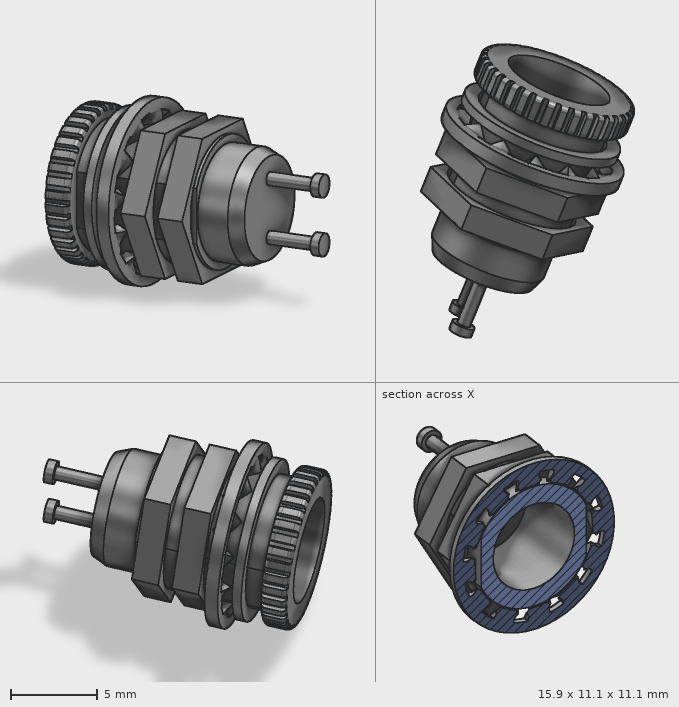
import cadquery as cq
import math


head_length = 1.56
barrel_end = 9.43
taper_start = 11.39
body_end = 12.29
pin_head_start = 15.32
overall_length = 15.86

head_radius = 4.7625
head_fillet = 0.3
knurl_count = 36
knurl_depth = head_fillet
knurl_floor_width = 0.26
knurl_top_width = 0.36

barrel_radius = 3.985
barrel_across_flats = 7.23
cap_radius = 3.5
cap_end_radius = 3.12

bore_radius = 3.15
bore_depth = 4.05
inner_bore_radius = 2.77

pin_radius = 0.4
pin_head_radius = 0.69
pin_spacing = 3.53

washer_radius = 4.84
washer_start = 2.65
washer_thickness = 0.55

lock_radius = 5.53
lock_inner_radius = 4.84
lock_start = 3.87
lock_thickness = 0.79
tooth_count = 12
tooth_width = 1.545
tooth_root = 4.75
tooth_clearance = 0.03
tooth_tip = barrel_radius + tooth_clearance
tooth_twist = -36.5
tooth_start_angle = -4.3

nut_across_flats = 8.73
nut_thickness = 1.6
nut_starts = (5.18, 7.61)


def disc(start, length, radius, z=0):
    """Cylinder along X."""
    return cq.Workplane("YZ", origin=(start, 0, z)).circle(radius).extrude(length)


def make_head():
    """Bezel with rounded rims and tapered knurl grooves along its length."""
    head = disc(0, head_length, head_radius).faces("<X or >X").edges().fillet(head_fillet)
    floor_radius = head_radius - knurl_depth
    wall_slope = (knurl_top_width - knurl_floor_width) / 2 / knurl_depth
    cutter_height = 2 * knurl_depth
    floor_half = knurl_floor_width / 2
    top_half = floor_half + wall_slope * cutter_height
    cutter = (
        cq.Workplane("YZ")
        .polyline([
            (-floor_half, floor_radius),
            (floor_half, floor_radius),
            (top_half, floor_radius + cutter_height),
            (-top_half, floor_radius + cutter_height),
        ])
        .close()
        .extrude(head_length)
    )
    for index in range(knurl_count):
        angle = index * 360 / knurl_count
        head = head.cut(cutter.rotate((0, 0, 0), (1, 0, 0), angle))
    return head


def make_barrel():
    """Plain barrel with a flat on each Y side."""
    length = barrel_end - head_length
    flats = (
        cq.Workplane("YZ", origin=(head_length, 0, 0))
        .rect(barrel_across_flats, 2 * barrel_radius)
        .extrude(length)
    )
    return disc(head_length, length, barrel_radius).intersect(flats)


def make_cap():
    """Round rear cap that tapers towards the pins."""
    return (
        cq.Workplane("XY")
        .moveTo(barrel_end, 0)
        .lineTo(barrel_end, cap_radius)
        .lineTo(taper_start, cap_radius)
        .lineTo(body_end, cap_end_radius)
        .lineTo(body_end, 0)
        .close()
        .revolve(360, (0, 0, 0), (1, 0, 0))
    )


def make_body():
    """Head, barrel, cap and pins as one solid with a stepped blind bore."""
    body = make_head().union(make_barrel()).union(make_cap())
    for side in (-1, 1):
        z = side * pin_spacing / 2
        body = body.union(disc(body_end, overall_length - body_end, pin_radius, z=z))
        body = body.union(disc(pin_head_start, overall_length - pin_head_start, pin_head_radius, z=z))
    body = body.cut(disc(0, bore_depth, bore_radius))
    return body.cut(disc(0, barrel_end, inner_bore_radius))


def make_washer():
    """Plain round washer."""
    washer = disc(washer_start, washer_thickness, washer_radius)
    return washer.cut(disc(washer_start, washer_thickness, barrel_radius))


def make_tooth():
    """Lock washer tooth at +Z: flat at its root in the ring, twisted about its own axis at the tip."""
    middle = lock_start + lock_thickness / 2
    anchor_top = (lock_inner_radius + lock_radius) / 2
    twisted = (
        cq.Workplane("XY", origin=(middle, 0, tooth_tip))
        .transformed(rotate=(0, 0, tooth_twist))
        .rect(lock_thickness, tooth_width)
        .workplane(offset=tooth_root - tooth_tip)
        .transformed(rotate=(0, 0, -tooth_twist))
        .rect(lock_thickness, tooth_width)
        .loft(ruled=True)
    )
    anchor = (
        cq.Workplane("XY", origin=(middle, 0, tooth_root))
        .rect(lock_thickness, tooth_width)
        .extrude(anchor_top - tooth_root)
    )
    return twisted.union(anchor)


def make_lock_washer():
    """Ring with twisted teeth pointing inwards."""
    ring = disc(lock_start, lock_thickness, lock_radius)
    ring = ring.cut(disc(lock_start, lock_thickness, lock_inner_radius))
    tooth = make_tooth()
    for index in range(tooth_count):
        angle = tooth_start_angle + index * 360 / tooth_count
        ring = ring.union(tooth.rotate((0, 0, 0), (1, 0, 0), angle))
    return ring


def make_nut(start):
    """Hex nut with flats on top and bottom."""
    corner_diameter = nut_across_flats / math.cos(math.pi / 6)
    nut = cq.Workplane("YZ", origin=(start, 0, 0)).polygon(6, corner_diameter).extrude(nut_thickness)
    return nut.cut(disc(start, nut_thickness, barrel_radius))


body = make_body()
washer = make_washer()
lock_washer = make_lock_washer()
nuts = [make_nut(start) for start in nut_starts]

result = cq.Compound.makeCompound([
    body.val(),
    washer.val(),
    lock_washer.val(),
    *[nut.val() for nut in nuts],
])